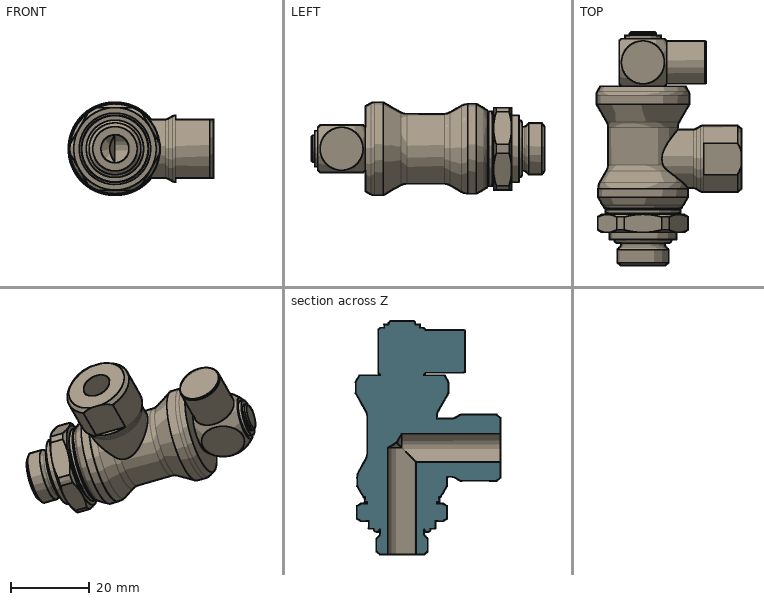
import cadquery as cq
import math

CONE_SLOPE = math.tan(math.radians(30))
BLEND_RADIUS = 3.0
OVERALL_LENGTH = 59.55
SELECT_TOLERANCE = 0.03

TIP_RADIUS = 6.6
TIP_LENGTH = 5.0
TIP_CHAMFER_LENGTH = 0.8
TIP_FACE_RADIUS = 5.65
TIP_NECK_RADIUS = 5.65
TIP_NECK_BLEND = 0.6

COLLAR_START = 6.55
COLLAR_RADIUS = 8.6
COLLAR_CHAMFER = 0.1
SEAL_SECTION_RADIUS = 0.85
SEAL_CENTER_RADIUS = 6.5

HEX_START = 8.45
HEX_END = 13.05
HEX_FLATS = 21.0
HEX_TURN = 30
HEX_TURNED_RADIUS = 11.55
HEX_CHAMFER = 0.65
HEX_RECESS_RADIUS = 9.1
HEX_RECESS_DEPTH = 0.1

NECK_RADIUS = 8.95
LOCK_RING_START = 13.4
LOCK_RING_END = 14.25
LOCK_RING_RADIUS = 9.6
LOCK_GROOVE_RADIUS = 9.45

BODY_START = 14.65
BODY_END = 45.75
BODY_START_RADIUS = 9.9
LOWER_BEVEL_START = 15.2
LOWER_BEVEL_START_RADIUS = 10.1
LOWER_BEVEL_END = 15.55
LOWER_BEVEL_END_RADIUS = 10.4
LOWER_RIM_START = 17.45
LOWER_RIM_STEP_Y = 19.6
LOWER_RIM_RADIUS = 11.5
SHOULDER_RADIUS = 11.45
WAIST_RADIUS = 8.95
LOWER_WAIST_Y = 24.9
UPPER_WAIST_Y = 36.0
UPPER_RIM_RADIUS = 11.9
UPPER_RIM_END = 43.95
UPPER_RIM_BLEND = 1.9

PORT_Y = 27.2
PORT_LENGTH = 25.2
PORT_NECK_RADIUS = 7.5
PORT_CONE_START = 13.2
PORT_FLATS_START = 15.55
PORT_HEAD_RADIUS = 8.5
PORT_FLATS = 15.0
PORT_CHAMFER_LENGTH = 1.1
PORT_CHAMFER_DEPTH = 0.9
PORT_BLEND = 1.4

BORE_RADIUS = 3.6
DRILL_POINT_ANGLE = 118

CUBE_SIDE = 12.15
CUBE_FACE_RADIUS = 5.5
OUTLET_RADIUS = 5.5
OUTLET_END = 16.15
OUTLET_CHAMFER_LENGTH = 0.4
OUTLET_CHAMFER_DEPTH = 0.2
CAP_BASE_RADIUS = 4.65
CAP_BASE_HEIGHT = 0.8
CAP_RADIUS = 3.45
CAP_CHAMFER = 0.4


def turned_y(points):
    """Revolve (radius, Y) points around the main axis."""
    profile = cq.Workplane("XY").polyline(points).close()
    return profile.revolve(360, (0, 0, 0), (0, 1, 0))


def turned_x(points):
    """Revolve (X, radius) points around the side-port axis, then move them to it."""
    profile = cq.Workplane("XY").polyline(points).close()
    return profile.revolve(360, (0, 0, 0), (1, 0, 0)).translate((0, PORT_Y, 0))


def circle_at(axis, position):
    """Select the turned edges lying at one place along the given axis (0 = X, 1 = Y)."""
    low = [-OVERALL_LENGTH] * 3
    high = [OVERALL_LENGTH] * 3
    low[axis] = position - SELECT_TOLERANCE
    high[axis] = position + SELECT_TOLERANCE
    return cq.selectors.BoxSelector(tuple(low), tuple(high), boundingbox=True)


def threaded_tip():
    chamfer_start = TIP_LENGTH - (TIP_RADIUS - TIP_NECK_RADIUS)
    tip = turned_y([
        (0, 0),
        (TIP_FACE_RADIUS, 0),
        (TIP_RADIUS, TIP_CHAMFER_LENGTH),
        (TIP_RADIUS, chamfer_start),
        (TIP_NECK_RADIUS, TIP_LENGTH),
        (TIP_NECK_RADIUS, COLLAR_START),
        (0, COLLAR_START),
    ])
    return tip.edges(circle_at(1, TIP_LENGTH)).fillet(TIP_NECK_BLEND)


def sealed_collar():
    collar = turned_y([
        (0, COLLAR_START),
        (COLLAR_RADIUS - COLLAR_CHAMFER, COLLAR_START),
        (COLLAR_RADIUS, COLLAR_START + COLLAR_CHAMFER),
        (COLLAR_RADIUS, HEX_END),
        (0, HEX_END),
    ])
    section = cq.Workplane("XY").center(SEAL_CENTER_RADIUS, COLLAR_START).circle(SEAL_SECTION_RADIUS)
    seal = section.revolve(360, (-SEAL_CENTER_RADIUS, 0, 0), (-SEAL_CENTER_RADIUS, 1, 0))
    return collar.union(seal)


def hexagon_nut():
    """Hexagon with flats at +Z and -Z, turned to a cylinder and chamfered at both ends."""
    hexagon = (
        cq.Workplane("XZ", origin=(0, HEX_START, 0))
        .polygon(6, HEX_FLATS, circumscribed=True)
        .extrude(HEX_START - HEX_END)
        .rotate((0, 0, 0), (0, 1, 0), HEX_TURN)
    )
    face_radius = HEX_FLATS / 2
    envelope = turned_y([
        (0, HEX_START),
        (face_radius, HEX_START),
        (HEX_TURNED_RADIUS, HEX_START + HEX_CHAMFER),
        (HEX_TURNED_RADIUS, HEX_END - HEX_CHAMFER),
        (face_radius, HEX_END),
        (0, HEX_END),
    ])
    recess = turned_y([
        (0, HEX_START),
        (HEX_RECESS_RADIUS, HEX_START),
        (HEX_RECESS_RADIUS, HEX_START + HEX_RECESS_DEPTH),
        (0, HEX_START + HEX_RECESS_DEPTH),
    ])
    return hexagon.intersect(envelope).cut(recess)


def stepped_neck():
    return turned_y([
        (0, HEX_END),
        (NECK_RADIUS, HEX_END),
        (NECK_RADIUS, LOCK_RING_START),
        (LOCK_RING_RADIUS, LOCK_RING_START),
        (LOCK_RING_RADIUS, LOCK_RING_END),
        (LOCK_GROOVE_RADIUS, LOCK_RING_END),
        (LOCK_GROOVE_RADIUS, BODY_START),
        (0, BODY_START),
    ])


def spool_body():
    shoulder_end = LOWER_WAIST_Y - (SHOULDER_RADIUS - WAIST_RADIUS) / CONE_SLOPE
    upper_rim_start = UPPER_WAIST_Y + (UPPER_RIM_RADIUS - WAIST_RADIUS) / CONE_SLOPE
    end_radius = UPPER_RIM_RADIUS - (BODY_END - UPPER_RIM_END) * CONE_SLOPE
    body = turned_y([
        (0, BODY_START),
        (BODY_START_RADIUS, BODY_START),
        (LOWER_BEVEL_START_RADIUS, LOWER_BEVEL_START),
        (LOWER_BEVEL_END_RADIUS, LOWER_BEVEL_END),
        (LOWER_RIM_RADIUS, LOWER_RIM_START),
        (LOWER_RIM_RADIUS, LOWER_RIM_STEP_Y),
        (SHOULDER_RADIUS, LOWER_RIM_STEP_Y),
        (SHOULDER_RADIUS, shoulder_end),
        (WAIST_RADIUS, LOWER_WAIST_Y),
        (WAIST_RADIUS, UPPER_WAIST_Y),
        (UPPER_RIM_RADIUS, upper_rim_start),
        (UPPER_RIM_RADIUS, UPPER_RIM_END),
        (end_radius, BODY_END),
        (0, BODY_END),
    ])
    for blend_y in (shoulder_end, LOWER_WAIST_Y, UPPER_WAIST_Y):
        body = body.edges(circle_at(1, blend_y)).fillet(BLEND_RADIUS)
    return body.edges(circle_at(1, UPPER_RIM_END)).fillet(UPPER_RIM_BLEND)


def side_port():
    cone_end = PORT_CONE_START + (PORT_HEAD_RADIUS - PORT_NECK_RADIUS) / CONE_SLOPE
    port = turned_x([
        (0, 0),
        (0, PORT_NECK_RADIUS),
        (PORT_CONE_START, PORT_NECK_RADIUS),
        (cone_end, PORT_HEAD_RADIUS),
        (PORT_LENGTH - PORT_CHAMFER_LENGTH, PORT_HEAD_RADIUS),
        (PORT_LENGTH, PORT_HEAD_RADIUS - PORT_CHAMFER_DEPTH),
        (PORT_LENGTH, 0),
    ])
    for blend_x in (PORT_CONE_START, cone_end):
        port = port.edges(circle_at(0, blend_x)).fillet(PORT_BLEND)
    plain_part = cq.Workplane("XY").box(
        PORT_FLATS_START, 2 * PORT_HEAD_RADIUS, 2 * PORT_HEAD_RADIUS, centered=(False, True, True)
    )
    flatted_part = cq.Workplane("XY").box(
        PORT_LENGTH, 2 * PORT_HEAD_RADIUS, PORT_FLATS, centered=(False, True, True)
    )
    return port.intersect(plain_part.union(flatted_part).translate((0, PORT_Y, 0)))


def drilled_passages():
    """Two equal blind drillings whose full diameters end on each other's axis."""
    point_depth = BORE_RADIUS / math.tan(math.radians(DRILL_POINT_ANGLE / 2))
    inlet = turned_y([
        (0, 0),
        (BORE_RADIUS, 0),
        (BORE_RADIUS, PORT_Y),
        (0, PORT_Y + point_depth),
    ])
    outlet = turned_x([
        (PORT_LENGTH, 0),
        (PORT_LENGTH, BORE_RADIUS),
        (0, BORE_RADIUS),
        (-point_depth, 0),
    ])
    return inlet.union(outlet)


def elbow_head():
    """Cube with spherically turned corners, a round outlet along +X and a stepped end cap."""
    half_side = CUBE_SIDE / 2
    center_y = BODY_END + half_side
    cube_end = BODY_END + CUBE_SIDE
    cap_base_end = cube_end + CAP_BASE_HEIGHT
    cube = cq.Workplane("XY").box(CUBE_SIDE, CUBE_SIDE, CUBE_SIDE)
    ball = cq.Workplane("XY").sphere(math.hypot(half_side, CUBE_FACE_RADIUS))
    head = cube.intersect(ball).translate((0, center_y, 0))
    outlet = turned_x([
        (0, 0),
        (0, OUTLET_RADIUS),
        (OUTLET_END - OUTLET_CHAMFER_LENGTH, OUTLET_RADIUS),
        (OUTLET_END, OUTLET_RADIUS - OUTLET_CHAMFER_DEPTH),
        (OUTLET_END, 0),
    ]).translate((0, center_y - PORT_Y, 0))
    cap = turned_y([
        (0, center_y),
        (CAP_BASE_RADIUS, center_y),
        (CAP_BASE_RADIUS, cap_base_end),
        (CAP_RADIUS, cap_base_end),
        (CAP_RADIUS, OVERALL_LENGTH - CAP_CHAMFER),
        (CAP_RADIUS - CAP_CHAMFER, OVERALL_LENGTH),
        (0, OVERALL_LENGTH),
    ])
    return head.union(outlet).union(cap)


result = (
    spool_body()
    .union(side_port())
    .union(stepped_neck())
    .union(hexagon_nut())
    .union(sealed_collar())
    .union(threaded_tip())
    .union(elbow_head())
    .cut(drilled_passages())
)